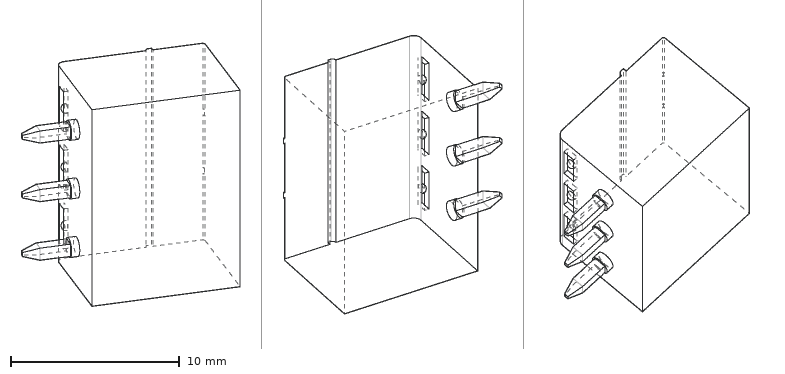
import cadquery as cq

body_width = 7.03
body_depth = 9.2
body_height = 12.82
front_fillet = 0.51
back_chamfer = 0.1

rib_projection = 0.23
rib_width = 0.41
rib_radius = 0.2
rib_back_y = 6.0

contact_count = 3
contact_pitch = 3.82
contact_to_side = 3.0
contact_x = body_width - contact_to_side
contact_heights = [
    body_height / 2 + (i - (contact_count - 1) / 2) * contact_pitch for i in range(contact_count)
]

pin_length = 3.4
pin_size = 0.8
tip_length = 1.0
tip_size = 0.27
collar_diameter = 1.2
collar_length = 0.5

window_to_side = 6.01
window_x = body_width - window_to_side
window_width = 0.8
window_height = 2.6
window_depth = 0.3
bead_diameter = 0.6

bridge_height = 0.4


def make_body():
    block = cq.Workplane("XY").box(body_width, body_depth, body_height, centered=False)
    block = block.edges("|Z and <X and <Y").fillet(front_fillet)
    return block.edges("|Z and <X and >Y").chamfer(back_chamfer)


def make_bridge(height):
    return (
        cq.Workplane("XY")
        .box(back_chamfer, back_chamfer, bridge_height, centered=(False, False, True))
        .translate((0, body_depth - back_chamfer, height))
    )


def make_rib():
    front_y = rib_back_y - rib_width
    return (
        cq.Workplane("XY")
        .moveTo(0, front_y)
        .lineTo(0, rib_back_y)
        .lineTo(-rib_projection, rib_back_y)
        .lineTo(-rib_projection, front_y + rib_radius)
        .radiusArc((rib_radius - rib_projection, front_y), -rib_radius)
        .close()
        .extrude(body_height)
    )


def front_plane(x, height, y=0):
    """Workplane facing -Y, centred at the given point."""
    return cq.Workplane("XZ", origin=(x, y, height))


def make_pin(height):
    shank_length = pin_length - tip_length
    collar = front_plane(contact_x, height).circle(collar_diameter / 2).extrude(collar_length)
    shank = front_plane(contact_x, height).rect(pin_size, pin_size).extrude(shank_length)
    tip = (
        front_plane(contact_x, height, -shank_length)
        .rect(pin_size, pin_size)
        .workplane(offset=tip_length)
        .rect(tip_size, tip_size)
        .loft(ruled=True)
    )
    return collar.union(shank).union(tip)


def make_window(height):
    return front_plane(window_x, height, window_depth).rect(window_width, window_height).extrude(window_depth)


def make_bead(height):
    return cq.Workplane("XY").sphere(bead_diameter / 2).translate((window_x, window_depth, height))


result = make_body().union(make_rib())

for lower, upper in zip(contact_heights, contact_heights[1:]):
    result = result.union(make_bridge((lower + upper) / 2))

for contact_z in contact_heights:
    result = result.cut(make_window(contact_z)).union(make_bead(contact_z)).union(make_pin(contact_z))